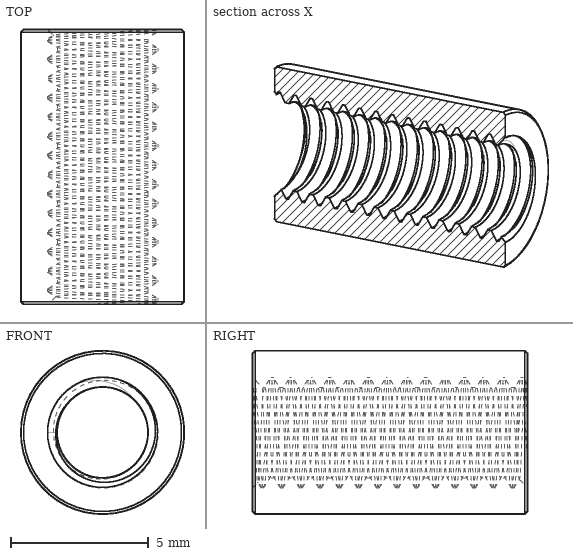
import cadquery as cq
import math

length = 10.0
outer_diameter = 5.95
edge_chamfer = 0.1
thread_pitch = 0.7
thread_major_diameter = 4.02
thread_minor_diameter = 3.3
countersink_diameter = 4.0
thread_start_angle = -90.0

minor_radius = thread_minor_diameter / 2
major_radius = thread_major_diameter / 2
root_half_width = thread_pitch / 16
mouth_half_width = thread_pitch * 3 / 8
flank_slope = (mouth_half_width - root_half_width) / (major_radius - minor_radius)
groove_overlap = 0.05
overrun = math.ceil(length / thread_pitch) * thread_pitch - length


def spacer_body():
    """Chamfered cylinder centred on the origin, built along Z."""
    body = cq.Workplane("XY").circle(outer_diameter / 2).extrude(length)
    body = body.translate((0, 0, -length / 2))
    return body.faces("<Z or >Z").edges().chamfer(edge_chamfer)


def bore_cutter():
    """Through bore with a 45 degree countersink at each end."""
    countersink_radius = countersink_diameter / 2
    countersink_depth = countersink_radius - minor_radius
    half_length = length / 2
    profile = [
        (0, -half_length),
        (countersink_radius, -half_length),
        (minor_radius, -half_length + countersink_depth),
        (minor_radius, half_length - countersink_depth),
        (countersink_radius, half_length),
        (0, half_length),
    ]
    return cq.Workplane("XZ").polyline(profile).close().revolve(360, (0, 0), (0, 1))


def thread_cutter():
    """Right-hand helical groove running past both ends."""
    inner_radius = minor_radius - groove_overlap
    inner_half_width = mouth_half_width + groove_overlap * flank_slope
    section = [
        (inner_radius, -inner_half_width),
        (major_radius, -root_half_width),
        (major_radius, root_half_width),
        (inner_radius, inner_half_width),
    ]
    helix_length = length + 2 * overrun
    path = cq.Workplane(cq.Wire.makeHelix(thread_pitch, helix_length, minor_radius))
    groove = cq.Workplane("XZ").polyline(section).close().sweep(path, isFrenet=True)
    groove = groove.translate((0, 0, -helix_length / 2))
    return groove.rotate((0, 0, 0), (0, 0, 1), thread_start_angle)


spacer = spacer_body().cut(bore_cutter()).cut(thread_cutter())

spacer = spacer.rotate((0, 0, 0), (0, 0, 1), 180)
result = spacer.rotate((0, 0, 0), (1, 0, 0), 90)